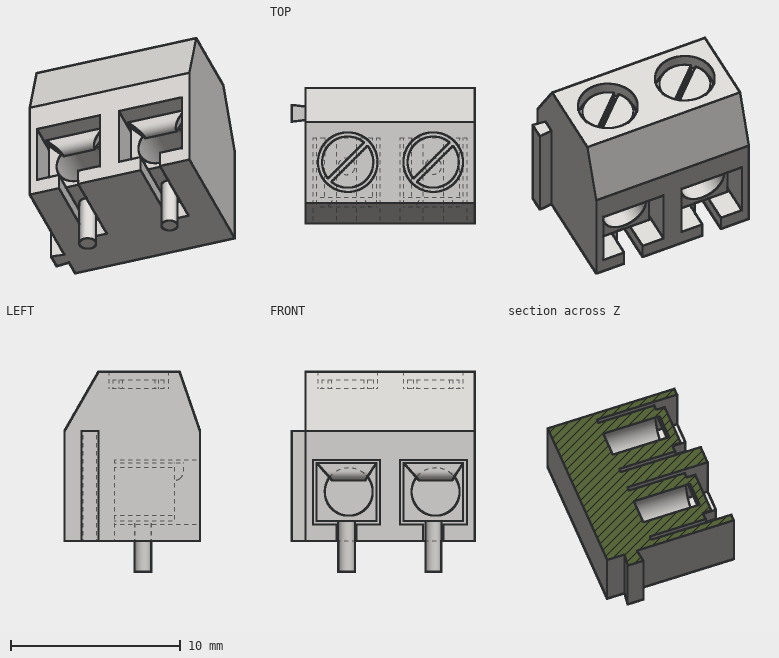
import cadquery as cq
import math


body_width = 10.0
body_depth = 8.0
body_height = 10.0
shoulder_height = 6.5
front_taper = 1.2
back_taper = 2.01

rib_length = 0.8
rib_tip_width = 1.0
rib_root_width = 0.81
rib_center_y = 6.5

pole_pitch = 5.12
first_pole_x = 2.43
pole_centers = (first_pole_x, first_pole_x + pole_pitch)
pocket_width = 3.94
pocket_floor = 0.99
pocket_top = 4.79
pin_slot_width = 1.2

clamp_size = 3.52
clamp_front = 1.52
clamp_bottom = 1.2
clamp_top = 4.61
pocket_depth = clamp_front + clamp_size
wire_hole_diameter = 2.83
wire_hole_offset = 0.13
wire_hole_z = 2.91

lip_bottom = 3.58
lip_radius = 0.53
lip_bottom_width = 1.94

pin_diameters = (1.0, 0.95)
pin_center_y = 3.37
pin_length = 1.8

screw_pitch = 5.04
first_screw_x = 2.5
screw_y = 3.62
screw_centers = (first_screw_x, first_screw_x + screw_pitch)
counterbore_diameter = 3.52
counterbore_depth = 1.0
screw_diameter = 3.02
screw_recess = 0.5
screw_slot_width = 0.28
screw_slot_angle = 45


def box(width, depth, height, x_center, y_front, z_bottom):
    """Box centred in X, placed by its front and bottom faces."""
    return (
        cq.Workplane("XY")
        .box(width, depth, height, centered=(True, False, False))
        .translate((x_center, y_front, z_bottom))
    )


def make_housing():
    profile = [
        (0, 0),
        (body_depth, 0),
        (body_depth, shoulder_height),
        (body_depth - back_taper, body_height),
        (front_taper, body_height),
        (0, shoulder_height),
    ]
    return cq.Workplane("YZ").polyline(profile).close().extrude(body_width)


def make_rib():
    outline = [
        (0, rib_center_y - rib_root_width / 2),
        (0, rib_center_y + rib_root_width / 2),
        (-rib_length, rib_center_y + rib_tip_width / 2),
        (-rib_length, rib_center_y - rib_tip_width / 2),
    ]
    return cq.Workplane("XY").polyline(outline).close().extrude(shoulder_height)


def make_pocket(x):
    chamber = box(pocket_width, pocket_depth, pocket_top - pocket_floor, x, 0, pocket_floor)
    pin_slot = box(pin_slot_width, pocket_depth, pocket_floor, x, 0, 0)
    return chamber.union(pin_slot)


def make_lip(x):
    """Lip that narrows from the full clamp width to a short edge over the wire hole."""
    lip_front = clamp_front - lip_radius
    hole_x = x + wire_hole_offset
    arc_offset = lip_radius * math.sqrt(0.5)
    arc_center_z = lip_bottom + lip_radius
    side_profile = (
        cq.Workplane("YZ")
        .moveTo(clamp_front, clamp_top)
        .lineTo(lip_front, clamp_top)
        .lineTo(lip_front, arc_center_z)
        .threePointArc((clamp_front - arc_offset, arc_center_z - arc_offset), (clamp_front, lip_bottom))
        .close()
        .extrude(body_width)
    )
    front_outline = [
        (x - clamp_size / 2, clamp_top),
        (x + clamp_size / 2, clamp_top),
        (hole_x + lip_bottom_width / 2, lip_bottom),
        (hole_x - lip_bottom_width / 2, lip_bottom),
    ]
    taper = cq.Workplane("XZ").polyline(front_outline).close().extrude(-pocket_depth)
    return side_profile.intersect(taper)


def make_clamp(x):
    block = box(clamp_size, clamp_size, clamp_top - clamp_bottom, x, clamp_front, clamp_bottom)
    wire_hole = (
        cq.Workplane("XZ")
        .center(x + wire_hole_offset, wire_hole_z)
        .circle(wire_hole_diameter / 2)
        .extrude(-pocket_depth)
    )
    return block.cut(wire_hole).union(make_lip(x))


def make_pin(x, diameter):
    return (
        cq.Workplane("XY", origin=(x, pin_center_y, -pin_length))
        .circle(diameter / 2)
        .extrude(pin_length + clamp_bottom)
    )


def make_counterbore(x):
    """Ring-shaped recess around the screw head, plus the clearance and slot above it."""
    head_height = counterbore_depth - screw_recess
    floor = cq.Workplane("XY", origin=(x, screw_y, body_height - counterbore_depth))
    recess = floor.circle(counterbore_diameter / 2).extrude(counterbore_depth)
    head = floor.circle(screw_diameter / 2).extrude(head_height)
    slot = (
        floor.transformed(rotate=(0, 0, screw_slot_angle))
        .rect(screw_diameter, screw_slot_width)
        .extrude(head_height)
    )
    return recess.cut(head.cut(slot))


result = make_housing().union(make_rib())

for screw_x in screw_centers:
    result = result.cut(make_counterbore(screw_x))

for pole_x, pin_diameter in zip(pole_centers, pin_diameters):
    result = result.cut(make_pocket(pole_x))
    result = result.union(make_clamp(pole_x))
    result = result.union(make_pin(pole_x, pin_diameter))